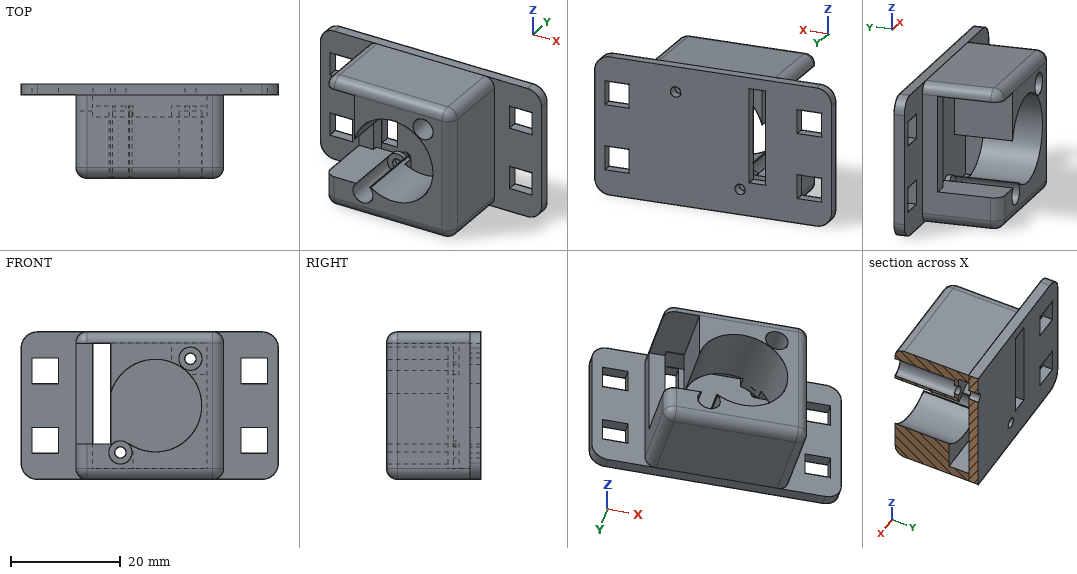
import cadquery as cq


plate_length = 47.0
plate_height = 27.0
plate_thickness = 2.0
plate_corner_radius = 3.0
window_width = 4.8
window_height = 4.65
window_offset_x = 19.1
window_offset_z = 6.35

total_depth = 17.25
housing_side = plate_height
edge_radius = 2.0
side_wall = 3.0
top_wall = 2.0

land_back = 4.0
seat_thickness = 1.0
slot_gap = 1.05
seat_front = land_back + seat_thickness
cavity_front = seat_front + slot_gap

bore_diameter = 16.9
bore_x = 1.05

slot_left = -10.4
slot_right = -7.15
slot_top = 11.37
slot_bottom = -7.0

screw_hole_diameter = 2.0
screw_head_diameter = 4.25
upper_screw = (7.43, 8.55)
lower_screw = (-5.35, -8.55)
screw_positions = (upper_screw, lower_screw)
upper_land_x = 3.95
lower_land_x = -3.1
land_reach_z = 2.85

half_side = housing_side / 2
cavity_half_width = half_side - side_wall
cavity_half_height = half_side - top_wall
upper_land_z = upper_screw[1] - land_reach_z
lower_land_z = lower_screw[1] + land_reach_z


def block(x_range, depth_range, z_range):
    """Box between two X values, two depths forward of the back, and two Z values."""
    x_min, x_max = x_range
    near, far = depth_range
    z_min, z_max = z_range
    return cq.Workplane("XY").box(x_max - x_min, far - near, z_max - z_min, centered=False).translate(
        (x_min, -far, z_min)
    )


def cylinder(diameter, center, depth_range):
    """Cylinder along Y at an (x, z) centre, between two depths forward of the back."""
    x, z = center
    near, far = depth_range
    return cq.Workplane("XZ", origin=(x, -near, z)).circle(diameter / 2).extrude(far - near)


def make_plate():
    """Rounded plate with four windows, the slot and two screw holes."""
    half_length = plate_length / 2
    plate = block((-half_length, half_length), (0, plate_thickness), (-half_side, half_side))
    plate = plate.edges("|Y").fillet(plate_corner_radius)

    for x in (-window_offset_x, window_offset_x):
        for z in (-window_offset_z, window_offset_z):
            window = block(
                (x - window_width / 2, x + window_width / 2),
                (0, plate_thickness),
                (z - window_height / 2, z + window_height / 2),
            )
            plate = plate.cut(window)

    plate = plate.cut(block((slot_left, slot_right), (0, plate_thickness), (slot_bottom, slot_top)))
    for position in screw_positions:
        plate = plate.cut(cylinder(screw_hole_diameter, position, (0, plate_thickness)))
    return plate


def make_cavity():
    """Space open to the plate, stepped around the screw lands in two opposite corners."""
    width = (-cavity_half_width, cavity_half_width)
    height = (-cavity_half_height, cavity_half_height)
    cavity = block(width, (plate_thickness, cavity_front), height)
    land_depth = (land_back, cavity_front)
    upper_land = block((upper_land_x, cavity_half_width), land_depth, (upper_land_z, cavity_half_height))
    lower_land = block((-cavity_half_width, lower_land_x), land_depth, (-cavity_half_height, lower_land_z))
    return cavity.cut(upper_land).cut(lower_land)


def make_housing():
    """Block with rounded sides and front, hollowed from behind and opened at the left and front."""
    housing = block((-half_side, half_side), (plate_thickness, total_depth), (-half_side, half_side))
    housing = housing.edges("|Y or <Y").fillet(edge_radius)
    housing = housing.cut(make_cavity())

    slot_height = (slot_bottom, slot_top)
    housing = housing.cut(block((-half_side, slot_right), (seat_front, total_depth), slot_height))
    housing = housing.cut(block((-cavity_half_width, upper_land_x), (plate_thickness, cavity_front), slot_height))

    housing = housing.cut(cylinder(bore_diameter, (bore_x, 0), (plate_thickness, total_depth)))

    housing = housing.cut(block((slot_right, bore_x), (cavity_front, total_depth), (slot_bottom, 0)))

    for position in screw_positions:
        housing = housing.union(cylinder(screw_head_diameter, position, (land_back, seat_front)))
        housing = housing.cut(cylinder(screw_head_diameter, position, (seat_front, total_depth)))
        housing = housing.cut(cylinder(screw_hole_diameter, position, (land_back, seat_front)))
    return housing


plate = make_plate()
housing = make_housing()

result = cq.Compound.makeCompound([plate.val(), housing.val()])